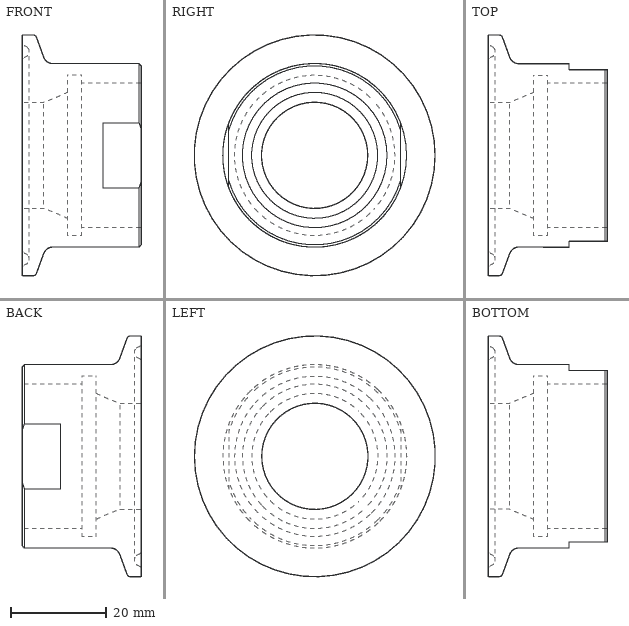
import cadquery as cq
import math


length = 25.0
flange_radius = 50.5 / 2
body_radius = 38.5 / 2

flange_corner_x = 2.85
flange_back_angle = 20.0
front_edge_radius = 0.2
back_edge_radius = 0.8
neck_radius = 2.0
body_end_chamfer = 0.5

groove_radius = 43.5 / 2
groove_depth = 1.5
groove_wall_angle = 25.0
groove_bottom_radius = 1.2
groove_lip_radius = 0.8

bore_radius = 11.1
bore_length = 4.5
cone_end_x = 9.5
cone_end_radius = 13.2
relief_end_x = 12.4
relief_radius = 16.8
socket_radius = 15.15

flat_distance = 36.0
flat_length = 8.0


def make_outer_body():
    """Solid of revolution with flange, conical back, neck and cylindrical body."""
    slope = math.tan(math.radians(flange_back_angle))
    neck_corner_x = flange_corner_x + (flange_radius - body_radius) * slope

    turn_half = math.radians(90 - flange_back_angle) / 2
    back_setback = back_edge_radius * math.tan(turn_half)
    neck_setback = neck_radius * math.tan(turn_half)
    along_x = math.sin(math.radians(flange_back_angle))
    along_r = math.cos(math.radians(flange_back_angle))

    profile = (
        cq.Workplane("XY")
        .moveTo(0, 0)
        .lineTo(0, flange_radius - front_edge_radius)
        .radiusArc((front_edge_radius, flange_radius), front_edge_radius)
        .lineTo(flange_corner_x - back_setback, flange_radius)
        .radiusArc(
            (flange_corner_x + back_setback * along_x, flange_radius - back_setback * along_r),
            back_edge_radius,
        )
        .lineTo(neck_corner_x - neck_setback * along_x, body_radius + neck_setback * along_r)
        .radiusArc((neck_corner_x + neck_setback, body_radius), -neck_radius)
        .lineTo(length - body_end_chamfer, body_radius)
        .lineTo(length, body_radius - body_end_chamfer)
        .lineTo(length, 0)
        .close()
    )
    return profile.revolve(360, (0, 0, 0), (1, 0, 0))


def make_groove():
    """Ring to remove for the gasket: rounded lips, sloping walls and a round bottom."""
    wall = math.radians(groove_wall_angle)
    bottom_half_width = groove_bottom_radius * math.cos(wall)
    bottom_x = groove_depth - groove_bottom_radius * (1 - math.sin(wall))
    lip_x = groove_lip_radius * (1 - math.sin(wall))
    lip_half_width = bottom_half_width + (bottom_x - lip_x) * math.tan(wall)
    mouth_half_width = lip_half_width + groove_lip_radius * math.cos(wall)

    profile = (
        cq.Workplane("XY")
        .moveTo(0, groove_radius - mouth_half_width)
        .radiusArc((lip_x, groove_radius - lip_half_width), groove_lip_radius)
        .lineTo(bottom_x, groove_radius - bottom_half_width)
        .threePointArc((groove_depth, groove_radius), (bottom_x, groove_radius + bottom_half_width))
        .lineTo(lip_x, groove_radius + lip_half_width)
        .radiusArc((0, groove_radius + mouth_half_width), groove_lip_radius)
        .close()
    )
    return profile.revolve(360, (0, 0, 0), (1, 0, 0))


def make_cavity():
    """Through passage: bore, widening cone, thread relief and plain socket."""
    profile = (
        cq.Workplane("XY")
        .moveTo(0, 0)
        .lineTo(0, bore_radius)
        .lineTo(bore_length, bore_radius)
        .lineTo(cone_end_x, cone_end_radius)
        .lineTo(cone_end_x, relief_radius)
        .lineTo(relief_end_x, relief_radius)
        .lineTo(relief_end_x, socket_radius)
        .lineTo(length, socket_radius)
        .lineTo(length, 0)
        .close()
    )
    return profile.revolve(360, (0, 0, 0), (1, 0, 0))


def make_flat_cutter(side):
    """Block that mills one wrench flat on the +Y (side = 1) or -Y (side = -1) face."""
    depth = body_radius - flat_distance / 2
    return cq.Workplane("XY").box(flat_length, depth, 2 * body_radius).translate(
        (length - flat_length / 2, side * (flat_distance + depth) / 2, 0)
    )


result = make_outer_body().cut(make_groove()).cut(make_cavity())
for side in (1, -1):
    result = result.cut(make_flat_cutter(side))